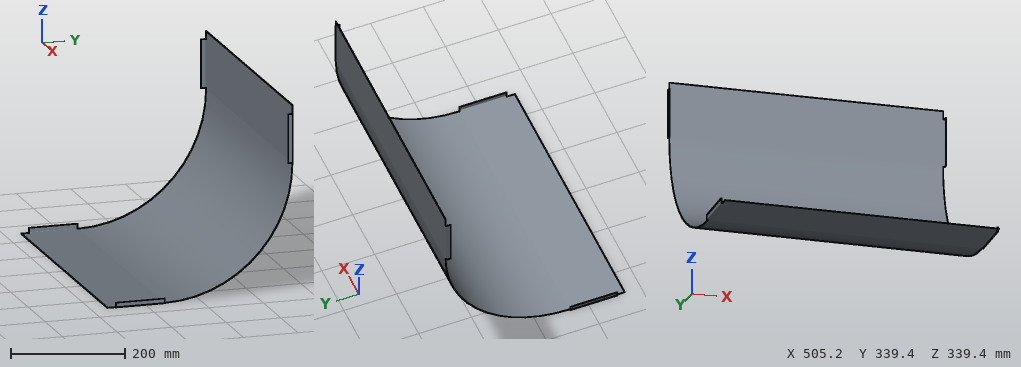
import cadquery as cq
import math

sheet_width = 500.0
overall_width = 505.2
overall_side = 339.35
thickness = 0.6
flat_length = 105.0

flange_length = 89.0
flange_end_gap = 15.0
flange_height = 9.0
flange_inner_radius = 0.5

half_width = sheet_width / 2
half_side = overall_side / 2
bottom = -half_side
front = -half_side
back = half_side
top = half_side
sheet_outer_radius = overall_side - flat_length
sheet_inner_radius = sheet_outer_radius - thickness
flange_outer_radius = flange_inner_radius + thickness


def arc_midpoint(center, radius):
    """Middle of a quarter arc that runs from straight below its center to its +horizontal side."""
    offset = radius * math.sqrt(0.5)
    return (center[0] + offset, center[1] - offset)


def make_sheet():
    """J-shaped sheet profile in the YZ plane, extruded across the width."""
    bend_y = front + flat_length
    bend_z = top - flat_length
    bend_center = (bend_y, bend_z)
    return (
        cq.Workplane("YZ")
        .moveTo(front, bottom)
        .lineTo(bend_y, bottom)
        .threePointArc(arc_midpoint(bend_center, sheet_outer_radius), (back, bend_z))
        .lineTo(back, top)
        .lineTo(back - thickness, top)
        .lineTo(back - thickness, bend_z)
        .threePointArc(arc_midpoint(bend_center, sheet_inner_radius), (bend_y, bottom + thickness))
        .lineTo(front, bottom + thickness)
        .close()
        .extrude(half_width, both=True)
    )


def make_bottom_flange():
    """Flange on the +X edge of the bottom plate: a short strip, a tight bend and an upright wall."""
    wall_outer_x = overall_width / 2
    wall_inner_x = wall_outer_x - thickness
    wall_top = bottom + flange_height
    bend_x = wall_outer_x - flange_outer_radius
    bend_z = bottom + flange_outer_radius
    bend_center = (bend_x, bend_z)
    return (
        cq.Workplane("XZ", origin=(0, front + flange_end_gap, 0))
        .moveTo(half_width, bottom)
        .lineTo(bend_x, bottom)
        .threePointArc(arc_midpoint(bend_center, flange_outer_radius), (wall_outer_x, bend_z))
        .lineTo(wall_outer_x, wall_top)
        .lineTo(wall_inner_x, wall_top)
        .lineTo(wall_inner_x, bend_z)
        .threePointArc(arc_midpoint(bend_center, flange_inner_radius), (bend_x, bottom + thickness))
        .lineTo(half_width, bottom + thickness)
        .close()
        .extrude(-flange_length)
    )


def move_to_back_plate(body):
    """Mirror across the plane y = -z, which carries the bottom plate onto the back plate."""
    return body.rotate((0, 0, 0), (1, 0, 0), 90).mirror("XY")


bottom_flange = make_bottom_flange()
back_flange = move_to_back_plate(bottom_flange)

result = make_sheet()
for flange in (bottom_flange, back_flange):
    result = result.union(flange).union(flange.mirror("YZ"))